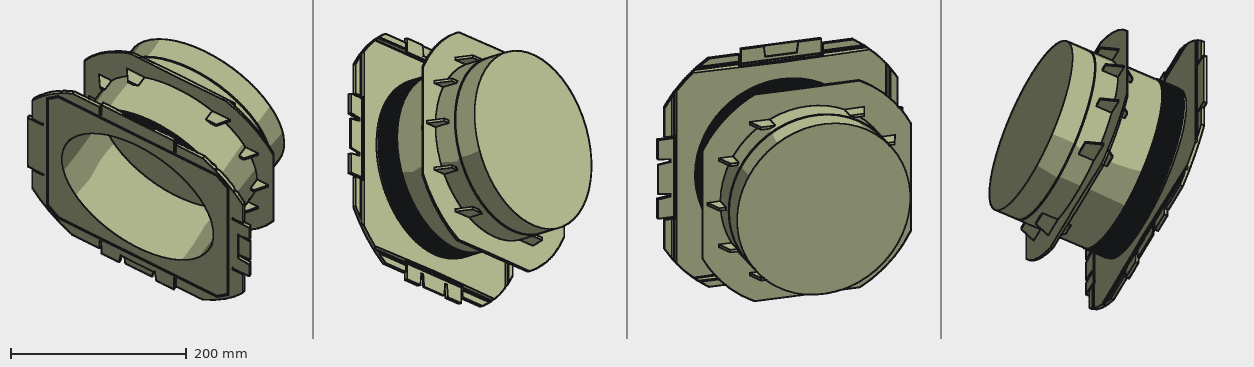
import cadquery as cq
import math

OVERALL_WIDTH = 294.9
OVERALL_LENGTH = 150.0

TUBE_DIAMETER = 209.0
TUBE_RADIUS = TUBE_DIAMETER / 2
BORE_MOUTH_DIAMETER = 202.0
BORE_FLOOR_DIAMETER = 201.0
BORE_DEPTH = 84.0
JOINT_GROOVE_DIAMETER = 208.0
JOINT_GROOVE_START = 120.5
JOINT_GROOVE_WIDTH = 1.0

RIDGE_COUNT = 14
RIDGE_PITCH = 2.03
RIDGE_HEIGHT = 0.7
RIDGES_START = 7.4

LIP_THICKNESS = 4.0
CORE_RIDGE_THICKNESS = 5.6
CORE_EDGE_THICKNESS = 4.45
LIP_HALF_WIDTH = 140.3
CORE_HALF_WIDTH = 132.2
PLATE_CORNER_RADIUS = 165.0

FOLD_POSITION = 128.0
FOLD_WIDTH = 3.0
FOLD_BOTTOM = 2.6

FACE_GROOVE_HALF_WIDTH = 120.9
FACE_GROOVE_CORNER_CUT = 15.0
FACE_GROOVE_WIDTH = 1.7
FACE_GROOVE_DEPTH = 0.5

TAB_HALF_WIDTH = 48.3
SHORT_TAB_REACH = 146.45
TONGUE_TAB_REACH = OVERALL_WIDTH - SHORT_TAB_REACH
SLOT_WIDTH = 2.5
SLOT_INNER_END = 126.0

LATCH_BASE = 133.4
LATCH_LEVEL = 2.2
TONGUE_BASE_HALF_WIDTH = 19.6
NOTCH_BASE_WIDTH = 3.3
LATCH_FLARE = 1.7
SOCKET_CLEARANCE = 1.2

COLLAR_CENTER = 91.1
COLLAR_RADIUS = 142.0
COLLAR_EDGE_THICKNESS = 1.8
COLLAR_RIDGE_THICKNESS = 4.1
COLLAR_HALF_WIDTH = 125.7
COLLAR_HALF_HEIGHT = 127.0

FINS = [
    (-92.7, 69.7),
    (-53.0, 106.8),
    (0.0, 120.2),
    (53.0, 106.8),
    (92.7, 69.7),
]
FIN_THICKNESS = 3.2
FIN_FRONT = 75.7
FIN_BACK = 112.0
FIN_FRONT_SETBACK = 11.0
FIN_BACK_SETBACK = 7.7


def prism(outline, start, end):
    """Extrude an outline drawn in (X, Z) from y = start to y = end."""
    return outline(cq.Workplane("XZ", origin=(0, start, 0))).extrude(start - end)


def block(half_x, half_z, start, end):
    return prism(lambda plane: plane.rect(2 * half_x, 2 * half_z), start, end)


def disc(diameter, start, end):
    return prism(lambda plane: plane.circle(diameter / 2), start, end)


def bar_along_z(section, half_length):
    """Extrude a closed (X, Y) section both ways along Z."""
    return cq.Workplane("XY").polyline(section).close().extrude(half_length, both=True)


def revolved(points):
    """Turn a closed (radius, y) profile around the Y axis."""
    return cq.Workplane("XY").polyline(points).close().revolve(360, (0, 0, 0), (0, 1, 0))


def turned_to_side(body, angle):
    """Turn a feature around the Y axis; 90 degrees takes the +Z side to +X."""
    return body.rotate((0, 0, 0), (0, 1, 0), angle)


def trapezoid(inner_half_width, outer_half_width, reach, start, end):
    """Trapezoid from the latch base out to the tab end, on the +Z side."""
    points = [
        (-inner_half_width, LATCH_BASE),
        (inner_half_width, LATCH_BASE),
        (outer_half_width, reach),
        (-outer_half_width, reach),
    ]
    return prism(lambda plane: plane.polyline(points).close(), start, end)


def edge_block(half_width, thickness, reach):
    """Block on the +Z side of the plate, from the slot ends out to the given reach."""
    height = reach - SLOT_INNER_END
    body = cq.Workplane("XY").box(2 * half_width, thickness, height)
    return body.translate((0, thickness / 2, SLOT_INNER_END + height / 2))


def octagon(half_width, corner_cut, start, end):
    body = block(half_width, half_width, start, end)
    return body.edges("|Y").chamfer(corner_cut)


def mounting_plate():
    corner_disc = disc(2 * PLATE_CORNER_RADIUS, 0, CORE_RIDGE_THICKNESS)
    lip = block(LIP_HALF_WIDTH, LIP_HALF_WIDTH, 0, LIP_THICKNESS).intersect(corner_disc)
    core_section = [
        (-CORE_HALF_WIDTH, 0),
        (CORE_HALF_WIDTH, 0),
        (CORE_HALF_WIDTH, CORE_EDGE_THICKNESS),
        (0, CORE_RIDGE_THICKNESS),
        (-CORE_HALF_WIDTH, CORE_EDGE_THICKNESS),
    ]
    core = bar_along_z(core_section, CORE_HALF_WIDTH).intersect(corner_disc)
    plate = lip.union(core)
    slot_outer = TAB_HALF_WIDTH + SLOT_WIDTH
    opening = edge_block(slot_outer, CORE_RIDGE_THICKNESS, LIP_HALF_WIDTH)
    for angle in (0, 90, 180, 270):
        plate = plate.cut(turned_to_side(opening, angle))
    return plate


def plain_tab():
    return edge_block(TAB_HALF_WIDTH, LIP_THICKNESS, SHORT_TAB_REACH)


def socket_tab():
    base_half_width = TONGUE_BASE_HALF_WIDTH + SOCKET_CLEARANCE
    socket = trapezoid(
        base_half_width - LATCH_FLARE,
        base_half_width,
        SHORT_TAB_REACH,
        LATCH_LEVEL,
        LIP_THICKNESS,
    )
    return plain_tab().cut(socket)


def tongue_tab():
    notch_base = TONGUE_BASE_HALF_WIDTH + NOTCH_BASE_WIDTH
    gap = trapezoid(notch_base, notch_base + LATCH_FLARE, TONGUE_TAB_REACH, 0, LIP_THICKNESS)
    tongue = trapezoid(
        TONGUE_BASE_HALF_WIDTH,
        TONGUE_BASE_HALF_WIDTH - LATCH_FLARE,
        TONGUE_TAB_REACH,
        LATCH_LEVEL,
        LIP_THICKNESS,
    )
    return edge_block(TAB_HALF_WIDTH, LIP_THICKNESS, TONGUE_TAB_REACH).cut(gap).union(tongue)


def fold_groove():
    """V groove along the +X edge; its flanks run on past the thickest part of the plate."""
    flank_slope = (FOLD_WIDTH / 2) / (LIP_THICKNESS - FOLD_BOTTOM)
    top = CORE_RIDGE_THICKNESS
    half_top_width = flank_slope * (top - FOLD_BOTTOM)
    section = [
        (FOLD_POSITION, FOLD_BOTTOM),
        (FOLD_POSITION + half_top_width, top),
        (FOLD_POSITION - half_top_width, top),
    ]
    return bar_along_z(section, LIP_HALF_WIDTH)


def face_groove():
    inner_half_width = FACE_GROOVE_HALF_WIDTH - FACE_GROOVE_WIDTH
    inner_cut = FACE_GROOVE_CORNER_CUT - FACE_GROOVE_WIDTH * (2 - math.sqrt(2))
    outer = octagon(FACE_GROOVE_HALF_WIDTH, FACE_GROOVE_CORNER_CUT, 0, FACE_GROOVE_DEPTH)
    return outer.cut(octagon(inner_half_width, inner_cut, 0, FACE_GROOVE_DEPTH))


def tube():
    """Tube turned in one piece, with the ridges and the joint groove in its outline."""
    profile = [(0, 0), (TUBE_RADIUS, 0), (TUBE_RADIUS, RIDGES_START)]
    for index in range(RIDGE_COUNT):
        ridge_start = RIDGES_START + index * RIDGE_PITCH
        profile.append((TUBE_RADIUS + RIDGE_HEIGHT, ridge_start + RIDGE_PITCH / 2))
        profile.append((TUBE_RADIUS, ridge_start + RIDGE_PITCH))
    groove_end = JOINT_GROOVE_START + JOINT_GROOVE_WIDTH
    profile += [
        (TUBE_RADIUS, JOINT_GROOVE_START),
        (JOINT_GROOVE_DIAMETER / 2, JOINT_GROOVE_START),
        (JOINT_GROOVE_DIAMETER / 2, groove_end),
        (TUBE_RADIUS, groove_end),
        (TUBE_RADIUS, OVERALL_LENGTH),
        (0, OVERALL_LENGTH),
    ]
    return revolved(profile)


def bore():
    return revolved([
        (0, 0),
        (BORE_MOUTH_DIAMETER / 2, 0),
        (BORE_FLOOR_DIAMETER / 2, BORE_DEPTH),
        (0, BORE_DEPTH),
    ])


def wall_collar():
    half_ridge = COLLAR_RIDGE_THICKNESS / 2
    half_edge = COLLAR_EDGE_THICKNESS / 2
    section = [
        (-COLLAR_HALF_WIDTH, COLLAR_CENTER - half_edge),
        (0, COLLAR_CENTER - half_ridge),
        (COLLAR_HALF_WIDTH, COLLAR_CENTER - half_edge),
        (COLLAR_HALF_WIDTH, COLLAR_CENTER + half_edge),
        (0, COLLAR_CENTER + half_ridge),
        (-COLLAR_HALF_WIDTH, COLLAR_CENTER + half_edge),
    ]
    slab = bar_along_z(section, COLLAR_HALF_HEIGHT)
    rim = disc(2 * COLLAR_RADIUS, COLLAR_CENTER - half_ridge, COLLAR_CENTER + half_ridge)
    return slab.intersect(rim)


def fin_pair(height, tip):
    """A flat fin through the tube, pointed at both ends."""
    half_outline = [
        (tip - FIN_FRONT_SETBACK, FIN_FRONT),
        (tip, COLLAR_CENTER),
        (tip - FIN_BACK_SETBACK, FIN_BACK),
    ]
    mirrored = [(-x, y) for x, y in reversed(half_outline)]
    plane = cq.Workplane("XY", origin=(0, 0, height - FIN_THICKNESS / 2))
    return plane.polyline(half_outline + mirrored).close().extrude(FIN_THICKNESS)


result = mounting_plate().union(socket_tab())
result = result.union(turned_to_side(plain_tab(), 270))
for side_angle in (90, 180):
    result = result.union(turned_to_side(tongue_tab(), side_angle))
for side_angle in (0, 90, 180, 270):
    result = result.cut(turned_to_side(fold_groove(), side_angle))
result = result.union(tube())
result = result.union(wall_collar())
for fin_height, fin_tip in FINS:
    result = result.union(fin_pair(fin_height, fin_tip))
result = result.cut(bore()).cut(face_groove())